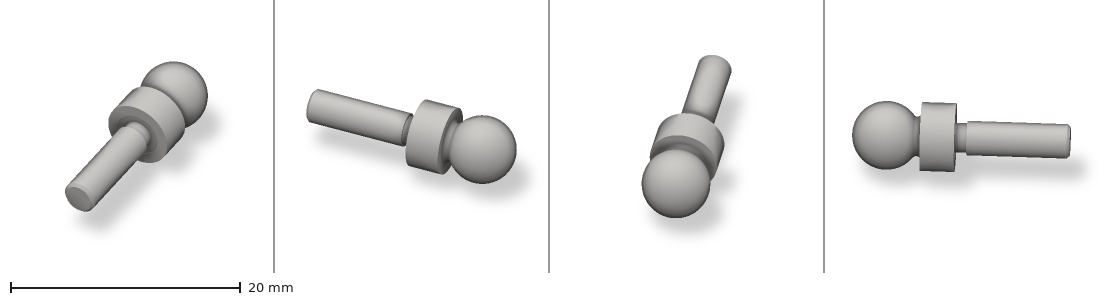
import cadquery as cq
import math

TOTAL_LENGTH = 19.0
BALL_DIAMETER = 6.0
COLLAR_LENGTH = BALL_DIAMETER / 2
THROAT_RADIUS = 0.36
RECESS_DIAMETER = 3.99
RECESS_DEPTH = 0.1
UNDERCUT_DIAMETER = 2.56
UNDERCUT_LENGTH = 1.0
SHANK_DIAMETER = 3.0
TIP_CHAMFER = 0.25

ball_radius = BALL_DIAMETER / 2
collar_radius = ball_radius
recess_radius = RECESS_DIAMETER / 2
undercut_radius = UNDERCUT_DIAMETER / 2
shank_radius = SHANK_DIAMETER / 2

ball_top = ball_radius
collar_top = -ball_radius
collar_bottom = collar_top - COLLAR_LENGTH
shank_top = collar_bottom - UNDERCUT_LENGTH
shank_tip = ball_top - TOTAL_LENGTH

throat_y = collar_top + THROAT_RADIUS
center_distance = ball_radius + THROAT_RADIUS
throat_x = math.sqrt(center_distance**2 - throat_y**2)
tangent_share = ball_radius / center_distance
ball_tangent = (throat_x * tangent_share, throat_y * tangent_share)

half_profile = (
    cq.Workplane("XY")
    .moveTo(0, ball_top)
    .threePointArc((ball_radius, 0), ball_tangent)
    .threePointArc((throat_x - THROAT_RADIUS, throat_y), (throat_x, collar_top))
    .lineTo(collar_radius, collar_top)
    .lineTo(collar_radius, collar_bottom)
    .lineTo(recess_radius, collar_bottom)
    .lineTo(recess_radius, collar_bottom + RECESS_DEPTH)
    .lineTo(undercut_radius, collar_bottom + RECESS_DEPTH)
    .lineTo(undercut_radius, shank_top)
    .lineTo(shank_radius, shank_top)
    .lineTo(shank_radius, shank_tip + TIP_CHAMFER)
    .lineTo(shank_radius - TIP_CHAMFER, shank_tip)
    .lineTo(0, shank_tip)
    .close()
)

result = half_profile.revolve(360, (0, 0, 0), (0, 1, 0))